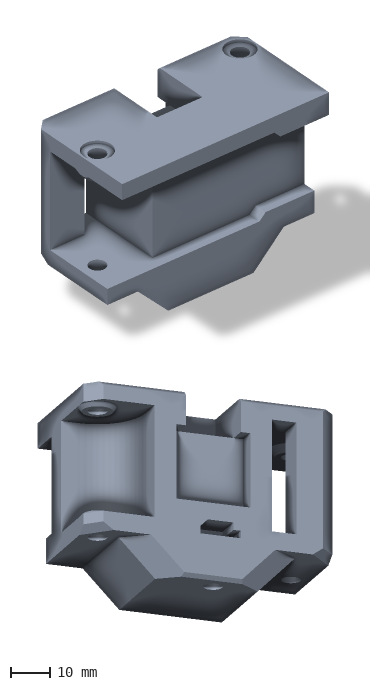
import cadquery as cq

TOP_DEPTH = 37.0
FLOOR_DEPTH = 31.0
CORE_DEPTH = 27.0
WIDTH = 68.0
HEIGHT = 50.0
HALF_WIDTH = WIDTH / 2
BODY_BOTTOM = 10.0

FLANGE = 4.9
GAP_BOTTOM = BODY_BOTTOM + FLANGE
GAP_TOP = HEIGHT - FLANGE
GAP_HEIGHT = GAP_TOP - GAP_BOTTOM

CORNER_CHAMFER = 4.0
LOWER_CORNER_CHAMFER = 2.0
FRONT_CHAMFER = 1.0
NOSE_SIDE_CHAMFER = 5.0
NOSE_TIP_HALF = 14.0

BAY_RADIUS = 13.0
AXLE_INSET = 5.0
AXLE_Y = HALF_WIDTH - AXLE_INSET
BAY_Y = AXLE_Y - BAY_RADIUS
LEFT_AXLE_X = 7.0
RIGHT_AXLE_X = 20.75
SLOT_WIDTH = 6.7

AXLE_HOLE_DIAMETER = 5.1
COUNTERBORE_DIAMETER = 9.0
COUNTERBORE_DEPTH = 1.0
BOSS_TIP_RADIUS = 4.1
LEFT_BOSS_HEIGHT = 1.05
RIGHT_BOSS_HEIGHT = 2.0
BOSS_FLARE = 0.8

PAD_HEIGHT = 2.0

WINDOW_SIZE = 20.2
WINDOW_BOTTOM = 20.6
WINDOW_TOP = 40.7
WINDOW_DEPTH = 5.1
NOTCH_WIDTH = 15.0
NOTCH_DEPTH = 18.4

SOCKET_LEFT = 3.5
SOCKET_RIGHT = -7.5
SOCKET_BOTTOM = 12.0
SOCKET_TOP = 16.0
SOCKET_STEP = 2.0
PASSAGE_DIAMETER = 5.0
PASSAGE_X = 5.5
PASSAGE_Y = (SOCKET_LEFT + SOCKET_RIGHT) / 2
SOCKET_DEPTH = PASSAGE_X + PASSAGE_DIAMETER / 2


def block(x_range, y_range, z_range):
    """Axis-aligned box between pairs of limits."""
    lows, highs = zip(x_range, y_range, z_range)
    sizes = [high - low for low, high in zip(lows, highs)]
    return cq.Workplane("XY").box(*sizes, centered=False).translate(lows)


def upright_cylinder(x, y, z, diameter, height):
    return cq.Workplane("XY", origin=(x, y, z)).circle(diameter / 2).extrude(height)


def make_body():
    """Block with chamfered front corners, open behind the core."""
    body = block((0, TOP_DEPTH), (-HALF_WIDTH, HALF_WIDTH), (BODY_BOTTOM, HEIGHT))
    body = body.edges("|Z and <X").chamfer(CORNER_CHAMFER)
    corner_middle = CORNER_CHAMFER / 2
    for side in (-1, 1):
        lower_edge = cq.selectors.NearestToPointSelector(
            (corner_middle, side * (HALF_WIDTH - corner_middle), BODY_BOTTOM)
        )
        body = body.edges(lower_edge).chamfer(LOWER_CORNER_CHAMFER)
    body = body.edges("<X and >Z").chamfer(FRONT_CHAMFER)
    everywhere = (-HALF_WIDTH, HALF_WIDTH)
    body = body.cut(block((CORE_DEPTH, TOP_DEPTH), everywhere, (GAP_BOTTOM, GAP_TOP)))
    return body.cut(block((FLOOR_DEPTH, TOP_DEPTH), everywhere, (BODY_BOTTOM, GAP_BOTTOM)))


def make_nose():
    """Tapered nose hanging under the bottom flange, with 45 degree sides."""
    base_half = NOSE_TIP_HALF + BODY_BOTTOM
    nose = (
        cq.Workplane("YZ")
        .polyline([
            (-base_half, BODY_BOTTOM),
            (-NOSE_TIP_HALF, 0),
            (NOSE_TIP_HALF, 0),
            (base_half, BODY_BOTTOM),
        ])
        .close()
        .extrude(FLOOR_DEPTH)
    )
    side_middle = NOSE_TIP_HALF + BODY_BOTTOM / 2
    for side in (-1, 1):
        sloped_edge = cq.selectors.NearestToPointSelector((0, side * side_middle, BODY_BOTTOM / 2))
        nose = nose.edges(sloped_edge).chamfer(NOSE_SIDE_CHAMFER)
    return nose.edges("<X and <Z").chamfer(FRONT_CHAMFER)


def make_pads():
    """Thicker strips on both flanges behind the core, each with a sloped start."""
    def pad(depth, flange_z, direction):
        crest_z = flange_z + direction * PAD_HEIGHT
        return (
            cq.Workplane("YZ", origin=(CORE_DEPTH, 0, 0))
            .polyline([
                (BAY_Y, flange_z),
                (BAY_Y + PAD_HEIGHT, crest_z),
                (HALF_WIDTH, crest_z),
                (HALF_WIDTH, flange_z),
            ])
            .close()
            .extrude(depth - CORE_DEPTH)
        )

    return pad(TOP_DEPTH, GAP_TOP, -1).union(pad(FLOOR_DEPTH, GAP_BOTTOM, 1))


def make_left_bay():
    """Bay open to the front and the +Y side, with a rounded inner corner."""
    return (
        cq.Workplane("XY", origin=(0, 0, GAP_BOTTOM))
        .moveTo(0, HALF_WIDTH)
        .lineTo(0, BAY_Y)
        .lineTo(LEFT_AXLE_X, BAY_Y)
        .radiusArc((LEFT_AXLE_X + BAY_RADIUS, AXLE_Y), -BAY_RADIUS)
        .lineTo(LEFT_AXLE_X + BAY_RADIUS, HALF_WIDTH)
        .close()
        .extrude(GAP_HEIGHT)
    )


def make_right_bay():
    """Square bay open to the back and the -Y side, with a slot to the front."""
    gap = (GAP_BOTTOM, GAP_TOP)
    bay = block((RIGHT_AXLE_X - BAY_RADIUS, CORE_DEPTH), (-HALF_WIDTH, -BAY_Y), gap)
    return bay.union(block((0, CORE_DEPTH), (-BAY_Y - SLOT_WIDTH, -BAY_Y), gap))


def make_boss(x, y, flange_z, direction, height):
    """Cone on a flange, trimmed flush with the sides of the part."""
    base_radius = BOSS_TIP_RADIUS + BOSS_FLARE * height
    cone = cq.Workplane(
        cq.Solid.makeCone(
            base_radius, BOSS_TIP_RADIUS, height,
            cq.Vector(x, y, flange_z), cq.Vector(0, 0, direction),
        )
    )
    return cone.intersect(
        block((0, TOP_DEPTH), (-HALF_WIDTH, HALF_WIDTH), (0, HEIGHT))
    )


def make_axle_hole(x, y):
    """Hole through both flanges with a counterbore in the top face."""
    through = upright_cylinder(x, y, 0, AXLE_HOLE_DIAMETER, HEIGHT)
    counterbore = upright_cylinder(
        x, y, HEIGHT - COUNTERBORE_DEPTH, COUNTERBORE_DIAMETER, COUNTERBORE_DEPTH
    )
    return through.union(counterbore)


def make_window():
    """Square recess in the front face joined to a notch in the top face."""
    half_window = WINDOW_SIZE / 2
    half_notch = NOTCH_WIDTH / 2
    window = block((0, WINDOW_DEPTH), (-half_window, half_window), (WINDOW_BOTTOM, WINDOW_TOP))
    notch = block((0, NOTCH_DEPTH), (-half_notch, half_notch), (WINDOW_TOP, HEIGHT))
    return window.union(notch)


def make_socket():
    """Blind socket with one chamfered and one stepped upper corner, and its passage."""
    shoulder = SOCKET_TOP - SOCKET_STEP
    socket = (
        cq.Workplane("YZ")
        .polyline([
            (SOCKET_LEFT, SOCKET_BOTTOM),
            (SOCKET_LEFT, shoulder),
            (SOCKET_LEFT - SOCKET_STEP, SOCKET_TOP),
            (SOCKET_RIGHT + SOCKET_STEP, SOCKET_TOP),
            (SOCKET_RIGHT + SOCKET_STEP, shoulder),
            (SOCKET_RIGHT, shoulder),
            (SOCKET_RIGHT, SOCKET_BOTTOM),
        ])
        .close()
        .extrude(SOCKET_DEPTH)
    )
    passage = upright_cylinder(PASSAGE_X, PASSAGE_Y, 0, PASSAGE_DIAMETER, SOCKET_BOTTOM)
    return socket.union(passage)


result = make_body().union(make_nose()).union(make_pads())
result = result.cut(make_left_bay()).cut(make_right_bay())
result = result.union(make_boss(LEFT_AXLE_X, AXLE_Y, GAP_BOTTOM, 1, LEFT_BOSS_HEIGHT))
result = result.union(make_boss(LEFT_AXLE_X, AXLE_Y, GAP_TOP, -1, LEFT_BOSS_HEIGHT))
result = result.union(make_boss(RIGHT_AXLE_X, -AXLE_Y, GAP_TOP, -1, RIGHT_BOSS_HEIGHT))
result = result.cut(make_axle_hole(LEFT_AXLE_X, AXLE_Y))
result = result.cut(make_axle_hole(RIGHT_AXLE_X, -AXLE_Y))
result = result.cut(make_window()).cut(make_socket())